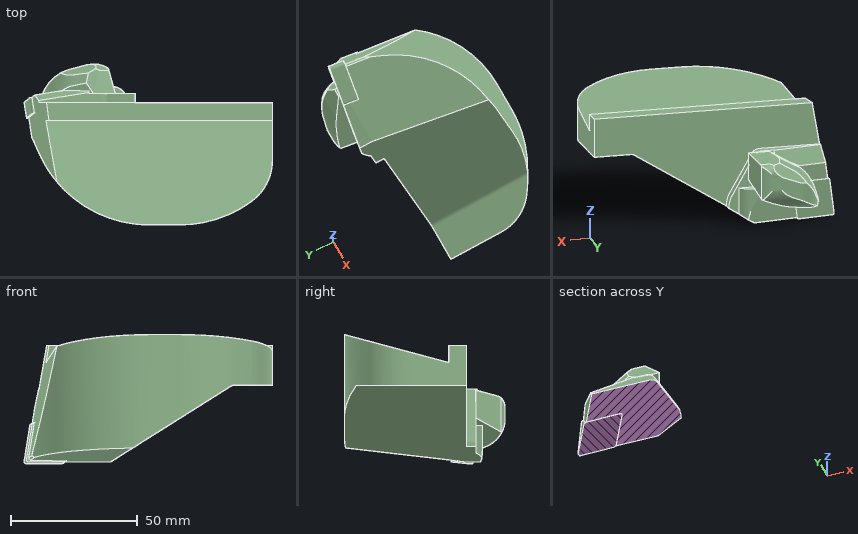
import cadquery as cq
import math


RIGHT_X = 98.2
FRONT_Y = -48.23
FRONT_FLAT_START_X = 49.5
FRONT_FLAT_END_X = 61.7
FRONT_RADIUS = 47.5
CORNER_RADIUS = 20.0
LEFT_ARC_END_Y = -20.4

FIN_TOP_Z = 46.65
FIN_DEPTH = 7.1
FIN_FOOT_Z = 39.97
TOP_SLOPE = math.tan(math.radians(15))
FLOOR_Z = 0.66
FLOOR_SLOPE = math.tan(math.radians(6.6))
RAMP_START_X = 34.3
RAMP_END_X = 82.4
RIGHT_FLOOR_Z = 30.95
RAMP_FILLET_RADIUS = 3.0
FLOOR_CHAMFER = 0.9

SIDE_X = 0.84
SIDE_LEAN = math.tan(math.radians(10))
SIDE_SKEW = math.tan(math.radians(7.5))

RAKE_X_SLOPE = math.tan(math.radians(9))
RAKE_Z_SLOPE = math.tan(math.radians(6))
RAKE_NORMAL = (-RAKE_X_SLOPE, 1, -RAKE_Z_SLOPE)

SHELF_Z = 29.5
SHELF_END_X = 30.5
SHELF_RADIUS = 4.0
SHELF_DROP = math.radians(60)
PAD_DEPTH = 3.7
SEAT_END_X = 25.8
SEAT_DEPTH = 4.85
PAD_LIP_X = 43.5
PAD_END_X = 44.1
PAD_END_Z = 8.5
BEVEL_START_Z = 22.6
BEVEL_SLOPE = 0.352
BOSS_TOP_Z = 15.0
BOSS_DEPTH = 6.3
BOSS_ROUND_START_X = 36.0
BOSS_END_X = 40.0
BOSS_ROUND_MID = (38.4, 5.3)

INSERT_EDGE = 16.0
INSERT_ANGLE = math.radians(80)
INSERT_THICKNESS = 6.35
INSERT_NOSE_RADIUS = 0.8

CLAMP_LEAN = cq.Vector(0.2, 1.0, -0.28)
CLAMP_REACH = 20.0
CLAMP_BASE_Y = 1.5
CLAMP_TIP_X = 7.5
CLAMP_ROOT_X = 36.2
CLAMP_ROOT_Y = 3.6
CLAMP_BACK_Y = 15.13
CLAMP_BOTTOM_Z = 4.6
FINGER_BOTTOM_Z = 5.4
FINGER_TOP_Z = 30.4
FINGER_RIGHT_X = 37.0
CLAMP_CHAMFER_POINT = (18.6, 10.9, 21.9)
CLAMP_CHAMFER_NORMAL = (-0.42, 0.74, 0.52)
CLAMP_HEEL_POINT = (24.7, 7.7, 27.4)
CLAMP_HEEL_NORMAL = (-0.51, 0, 0.86)

FAR = 150.0


def block_along_y(outline, y_start, y_end):
    """Extrude an XZ outline from y_start to y_end."""
    return outline.extrude(y_start - y_end).translate((0, y_start, 0))


def half_space(point, normal):
    """Large block filling the side of a plane that its normal points to."""
    plane = cq.Plane(origin=point, xDir=(-normal[1], normal[0], 0), normal=normal)
    return cq.Workplane(plane).rect(2 * FAR, 2 * FAR).extrude(FAR)


def body_outline():
    """Prism with the rounded front, well past the top and the left side."""
    arc_center_y = FRONT_Y + FRONT_RADIUS
    left_end_angle = math.asin((LEFT_ARC_END_Y - arc_center_y) / FRONT_RADIUS)
    left_end_x = FRONT_FLAT_START_X - FRONT_RADIUS * math.cos(left_end_angle)
    left_line_x = left_end_x - math.tan(left_end_angle) * LEFT_ARC_END_Y

    corner_x = RIGHT_X - CORNER_RADIUS
    center_gap = FRONT_RADIUS - CORNER_RADIUS
    drop = math.sqrt(center_gap**2 - (corner_x - FRONT_FLAT_END_X) ** 2)
    corner_y = arc_center_y - drop
    to_corner_x = (corner_x - FRONT_FLAT_END_X) / center_gap
    joint_angle = -math.acos(to_corner_x)
    joint = (
        FRONT_FLAT_END_X + FRONT_RADIUS * math.cos(joint_angle),
        arc_center_y + FRONT_RADIUS * math.sin(joint_angle),
    )
    front_mid_angle = (joint_angle - math.pi / 2) / 2
    front_mid = (
        FRONT_FLAT_END_X + FRONT_RADIUS * math.cos(front_mid_angle),
        arc_center_y + FRONT_RADIUS * math.sin(front_mid_angle),
    )
    corner_mid = (
        corner_x + CORNER_RADIUS * math.cos(joint_angle / 2),
        corner_y + CORNER_RADIUS * math.sin(joint_angle / 2),
    )
    diagonal = FRONT_RADIUS * math.sqrt(0.5)
    left_mid = (FRONT_FLAT_START_X - diagonal, arc_center_y - diagonal)
    return (
        cq.Workplane("XY")
        .moveTo(left_line_x, 0)
        .lineTo(left_end_x, LEFT_ARC_END_Y)
        .threePointArc(left_mid, (FRONT_FLAT_START_X, FRONT_Y))
        .lineTo(FRONT_FLAT_END_X, FRONT_Y)
        .threePointArc(front_mid, joint)
        .threePointArc(corner_mid, (RIGHT_X, corner_y))
        .lineTo(RIGHT_X, 0)
        .close()
        .extrude(FAR)
    )


def side_section():
    """Section across the body: fin, 15 degree top and rising floor."""
    front_top_z = FIN_FOOT_Z + (-FRONT_Y - FIN_DEPTH) * TOP_SLOPE
    return (
        cq.Workplane("YZ")
        .polyline(
            [
                (0, FLOOR_Z),
                (0, FIN_TOP_Z),
                (-FIN_DEPTH, FIN_TOP_Z),
                (-FIN_DEPTH, FIN_FOOT_Z),
                (FRONT_Y, front_top_z),
                (FRONT_Y, FLOOR_Z - FLOOR_SLOPE * FRONT_Y),
            ]
        )
        .close()
        .extrude(FAR)
    )


def below_ramp():
    """Material removed under the ramp and under the right end."""
    outline = (
        cq.Workplane("XZ")
        .moveTo(RAMP_START_X, FLOOR_Z)
        .lineTo(RAMP_END_X, RIGHT_FLOOR_Z)
        .lineTo(FAR, RIGHT_FLOOR_Z)
        .lineTo(FAR, -FAR)
        .lineTo(RAMP_START_X, -FAR)
        .close()
    )
    block = block_along_y(outline, -FAR, FAR)
    crest = cq.selectors.NearestToPointSelector((RAMP_END_X, 0, RIGHT_FLOOR_Z))
    return block.edges(crest).fillet(RAMP_FILLET_RADIUS)


def beyond_floor_chamfer():
    """Material removed by the chamfer between the left side and the floor."""
    edge_x = SIDE_X + SIDE_LEAN * FLOOR_Z
    point = (edge_x + FLOOR_CHAMFER, 0, FLOOR_Z)
    return half_space(point, (-1, -SIDE_SKEW - FLOOR_SLOPE, SIDE_LEAN - 1))


def pad():
    """Raised pad on the back face, deeper beside the clamp, with a rounded boss."""
    arc_end_x = SHELF_END_X + SHELF_RADIUS * math.sin(SHELF_DROP)
    arc_end_z = SHELF_Z - SHELF_RADIUS * (1 - math.cos(SHELF_DROP))
    arc_mid = (
        SHELF_END_X + SHELF_RADIUS * math.sin(SHELF_DROP / 2),
        SHELF_Z - SHELF_RADIUS * (1 - math.cos(SHELF_DROP / 2)),
    )
    lip_z = arc_end_z - (PAD_LIP_X - arc_end_x) * math.tan(SHELF_DROP)
    outline = (
        cq.Workplane("XZ")
        .moveTo(0, FLOOR_Z)
        .lineTo(0, SHELF_Z)
        .lineTo(SHELF_END_X, SHELF_Z)
        .threePointArc(arc_mid, (arc_end_x, arc_end_z))
        .lineTo(PAD_LIP_X, lip_z)
        .lineTo(PAD_END_X, PAD_END_Z)
        .lineTo(PAD_END_X, FLOOR_Z)
        .close()
    )
    plate = block_along_y(outline, 0, PAD_DEPTH)
    seat = cq.Workplane("XY").box(
        SEAT_END_X, SEAT_DEPTH, SHELF_Z - FLOOR_Z, centered=False
    )
    boss = (
        cq.Workplane("XY", origin=(0, 0, FLOOR_Z))
        .lineTo(0, BOSS_DEPTH)
        .lineTo(BOSS_ROUND_START_X, BOSS_DEPTH)
        .threePointArc(BOSS_ROUND_MID, (BOSS_END_X, PAD_DEPTH))
        .lineTo(BOSS_END_X, 0)
        .close()
        .extrude(BOSS_TOP_Z - FLOOR_Z)
    )
    bevel_point = (0, RAKE_Z_SLOPE * BEVEL_START_Z, BEVEL_START_Z)
    return (
        plate.union(seat.translate((0, 0, FLOOR_Z)))
        .union(boss)
        .cut(half_space((0, 0, 0), RAKE_NORMAL))
        .cut(half_space(bevel_point, (-RAKE_X_SLOPE, 1, BEVEL_SLOPE)))
    )


def clamp():
    """Finger clamp: the common part of its outlines along the three axes."""
    plan = (
        cq.Workplane("XY")
        .moveTo(CLAMP_TIP_X, CLAMP_BASE_Y)
        .lineTo(CLAMP_TIP_X, CLAMP_ROOT_Y)
        .threePointArc((11.9, 9.8), (19.3, 13.5))
        .lineTo(25.7, 15.2)
        .threePointArc((30.3, 14.98), (33.5, 13.5))
        .lineTo(CLAMP_ROOT_X, CLAMP_ROOT_Y)
        .lineTo(SHELF_END_X, 3.5)
        .lineTo(SEAT_END_X, 2.9)
        .close()
        .extrude(SHELF_Z)
    )
    profile = (
        cq.Workplane("YZ")
        .moveTo(CLAMP_BASE_Y, SHELF_Z)
        .lineTo(CLAMP_ROOT_Y, 29.1)
        .lineTo(12.8, 26.6)
        .threePointArc((14.6, 24.6), (CLAMP_BACK_Y, 21.5))
        .lineTo(CLAMP_BACK_Y, 16.0)
        .threePointArc((12.9, 10.8), (8.5, 7.1))
        .lineTo(3.0, CLAMP_BOTTOM_Z)
        .lineTo(CLAMP_BASE_Y, CLAMP_BOTTOM_Z)
        .close()
        .extrude(FAR)
    )
    finger = (
        cq.Workplane("XZ")
        .moveTo(8.2, 13.0)
        .threePointArc((12.1, 20.6), (17.0, 25.4))
        .lineTo(23.2, 29.6)
        .lineTo(29.0, FINGER_TOP_Z)
        .lineTo(FINGER_RIGHT_X, FINGER_TOP_Z)
        .lineTo(FINGER_RIGHT_X, 20.0)
        .lineTo(12.0, FINGER_BOTTOM_Z)
        .lineTo(9.0, FINGER_BOTTOM_Z)
        .lineTo(6.8, 8.5)
        .close()
    )
    slanted = cq.Solid.extrudeLinear(finger.wires().val(), [], CLAMP_LEAN * CLAMP_REACH)
    outer_edge_chamfer = half_space(CLAMP_CHAMFER_POINT, CLAMP_CHAMFER_NORMAL)
    above_heel = half_space(CLAMP_HEEL_POINT, CLAMP_HEEL_NORMAL)
    return (
        plan.intersect(profile)
        .intersect(cq.Workplane(slanted))
        .cut(outer_edge_chamfer)
        .cut(above_heel)
    )


def make_insert():
    """Rhombic insert lying flush with the rake plane."""
    rake = cq.Plane(
        origin=(0, 0, 0),
        xDir=(1, RAKE_X_SLOPE, 0),
        normal=tuple(-component for component in RAKE_NORMAL),
    )
    run = INSERT_EDGE * math.cos(INSERT_ANGLE)
    rise = INSERT_EDGE * math.sin(INSERT_ANGLE)
    return (
        cq.Workplane(rake)
        .polyline([(0, 0), (INSERT_EDGE, 0), (INSERT_EDGE + run, rise), (run, rise)])
        .close()
        .extrude(INSERT_THICKNESS)
        .edges(cq.selectors.ParallelDirSelector(rake.zDir))
        .fillet(INSERT_NOSE_RADIUS)
    )


insert = make_insert()
body = (
    body_outline()
    .intersect(side_section())
    .union(pad())
    .cut(below_ramp())
    .cut(half_space((SIDE_X, 0, 0), (-1, -SIDE_SKEW, SIDE_LEAN)))
    .cut(beyond_floor_chamfer())
    .union(clamp())
    .cut(insert)
)
result = cq.Compound.makeCompound([body.val(), insert.val()])